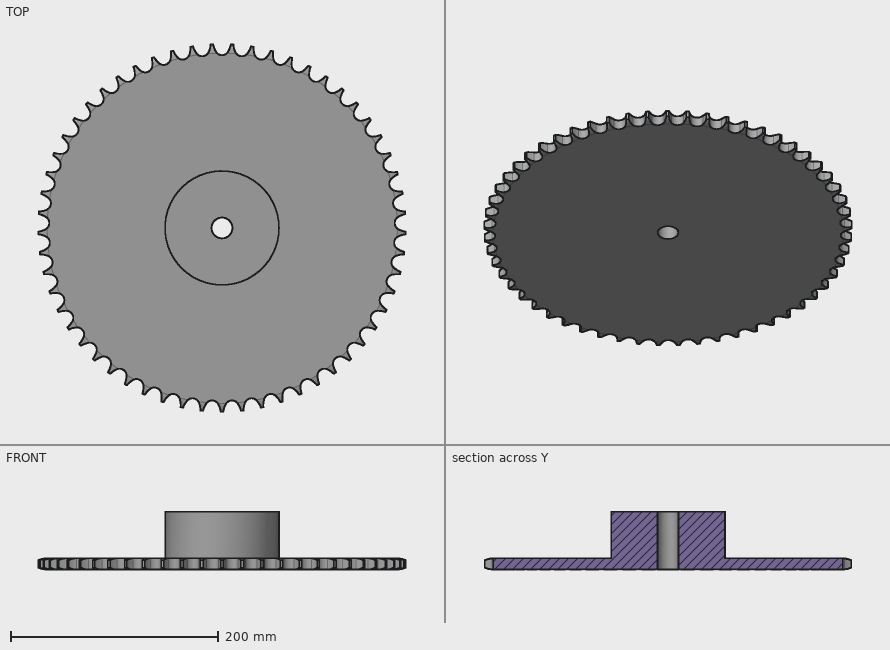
import cadquery as cq
import math

TEETH = 57
TIP_RADIUS = 177.5
ROOT_RADIUS = 167.0
SEAT_RADIUS = 6.8
SEAT_HALF_ANGLE = 60.0
FLANK_RADIUS = 23.0
PLATE_THICKNESS = 11.0
FLAT_FACE_RADIUS = 169.0
TOOTH_SIDE_RADIUS = 19.2
TOTAL_HEIGHT = 56.0
HUB_DIAMETER = 110.0
BORE_DIAMETER = 20.0

PITCH_ANGLE = 2 * math.pi / TEETH
FIRST_GAP_ANGLE = math.pi / 2


def polar_point(along, across, angle):
    """Point at `along` on the ray at `angle`, shifted `across` to its left."""
    x = along * math.cos(angle) - across * math.sin(angle)
    y = along * math.sin(angle) + across * math.cos(angle)
    return (x, y)


def tooth_outline():
    """Closed outline: round seats, hollow flanks tangent to them and tip arcs."""
    seat_centre = ROOT_RADIUS + SEAT_RADIUS
    seat_angle = math.radians(SEAT_HALF_ANGLE)
    seat_end_along = seat_centre - SEAT_RADIUS * math.cos(seat_angle)
    seat_end_across = SEAT_RADIUS * math.sin(seat_angle)

    flank_along = seat_centre + (FLANK_RADIUS - SEAT_RADIUS) * math.cos(seat_angle)
    flank_across = -(FLANK_RADIUS - SEAT_RADIUS) * math.sin(seat_angle)

    distance = math.hypot(flank_along, flank_across)
    cosine = (distance**2 + TIP_RADIUS**2 - FLANK_RADIUS**2) / (2 * distance * TIP_RADIUS)
    tip_angle = math.atan2(flank_across, flank_along) + math.acos(cosine)
    tip_along = TIP_RADIUS * math.cos(tip_angle)
    tip_across = TIP_RADIUS * math.sin(tip_angle)

    end_angle = math.atan2(tip_across - flank_across, flank_along - tip_along)
    middle_angle = (seat_angle + end_angle) / 2
    middle_along = flank_along - FLANK_RADIUS * math.cos(middle_angle)
    middle_across = flank_across + FLANK_RADIUS * math.sin(middle_angle)

    outline = cq.Workplane("XY").moveTo(*polar_point(tip_along, -tip_across, FIRST_GAP_ANGLE))
    for tooth in range(TEETH):
        gap = FIRST_GAP_ANGLE + tooth * PITCH_ANGLE
        next_gap = gap + PITCH_ANGLE
        tooth_middle = gap + PITCH_ANGLE / 2
        outline = (
            outline.threePointArc(
                polar_point(middle_along, -middle_across, gap),
                polar_point(seat_end_along, -seat_end_across, gap),
            )
            .threePointArc(
                polar_point(ROOT_RADIUS, 0, gap),
                polar_point(seat_end_along, seat_end_across, gap),
            )
            .threePointArc(
                polar_point(middle_along, middle_across, gap),
                polar_point(tip_along, tip_across, gap),
            )
            .threePointArc(
                polar_point(TIP_RADIUS, 0, tooth_middle),
                polar_point(tip_along, -tip_across, next_gap),
            )
        )
    return outline.close()


def rounded_disc():
    """Disc whose two faces curve towards each other near the rim."""
    rim_width = TIP_RADIUS - FLAT_FACE_RADIUS

    def side_drop(distance):
        return TOOTH_SIDE_RADIUS - math.sqrt(TOOTH_SIDE_RADIUS**2 - distance**2)

    middle_radius = FLAT_FACE_RADIUS + rim_width / 2
    middle_drop = side_drop(rim_width / 2)
    tip_drop = side_drop(rim_width)
    return (
        cq.Workplane("XZ")
        .lineTo(FLAT_FACE_RADIUS, 0)
        .threePointArc((middle_radius, middle_drop), (TIP_RADIUS, tip_drop))
        .lineTo(TIP_RADIUS, PLATE_THICKNESS - tip_drop)
        .threePointArc(
            (middle_radius, PLATE_THICKNESS - middle_drop),
            (FLAT_FACE_RADIUS, PLATE_THICKNESS),
        )
        .lineTo(0, PLATE_THICKNESS)
        .close()
        .revolve(360, (0, 0, 0), (0, 1, 0))
    )


toothed_plate = tooth_outline().extrude(PLATE_THICKNESS).intersect(rounded_disc())
hub = cq.Workplane("XY").circle(HUB_DIAMETER / 2).extrude(TOTAL_HEIGHT)
bore = cq.Workplane("XY").circle(BORE_DIAMETER / 2).extrude(TOTAL_HEIGHT)

result = toothed_plate.union(hub).cut(bore)